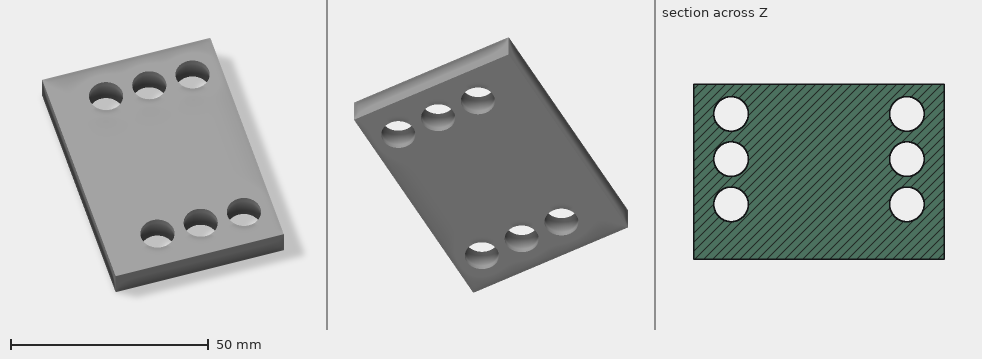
import cadquery as cq

plate_length = 63.5
plate_width = 44.45
plate_thickness = 7.0

hole_diameter = 8.64
column_spacing = 44.45
row_pitch = 11.43
rows_per_column = 3
top_row_edge_distance = 7.62


def make_plate():
    return cq.Workplane("XY").box(plate_length, plate_width, plate_thickness)


def hole_centers():
    top_row_y = plate_width / 2 - top_row_edge_distance
    return [
        (side * column_spacing / 2, top_row_y - row * row_pitch)
        for side in (-1, 1)
        for row in range(rows_per_column)
    ]


def drill_holes(plate):
    return plate.faces(">Z").workplane().pushPoints(hole_centers()).hole(hole_diameter)


result = drill_holes(make_plate())